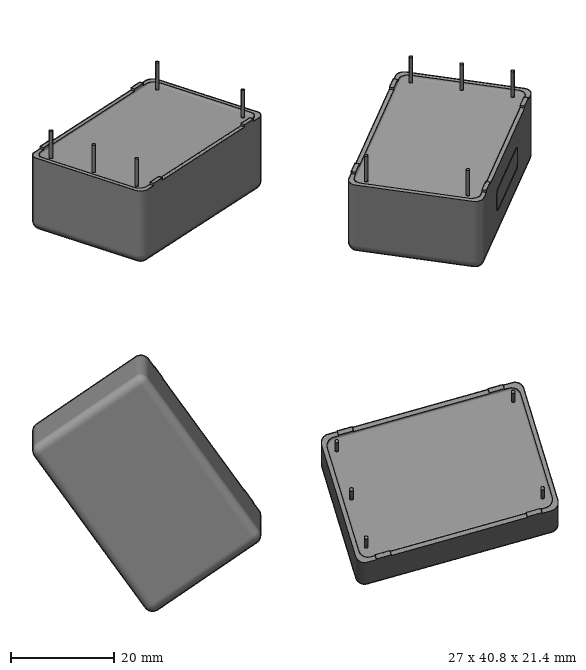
import cadquery as cq

width = 27.0
length = 40.8
total_height = 21.4
case_height = 16.0
corner_radius = 1.8
bottom_radius = 1.8

rim_wall = 0.9
recess_depth = 0.5
recess_corner_radius = 1.85
meniscus_radius = 0.45

tab_length = 3.0
tab_height = 0.5
tab_offset_y = 15.2

corner_pin_diameter = 0.7
middle_pin_diameter = 0.75
pin_spacing_x = 10.15
pin_row_spacing = 35.58
pin_pattern_center_x = 0.1
pin_pattern_center_y = -0.05

label_length = 16.4
label_height = 5.0
label_corner_diameter = 2.0
label_depth = 0.1
label_center_z = 8.35


def make_case():
    """Block with rounded vertical corners and a rounded bottom edge."""
    block = cq.Workplane("XY").box(width, length, case_height, centered=(True, True, False))
    return block.edges("|Z").fillet(corner_radius).faces("<Z").edges().fillet(bottom_radius)


def make_recess():
    """Shallow pocket volume whose floor curves up into the rim."""
    pocket = (
        cq.Workplane("XY")
        .workplane(offset=case_height - recess_depth)
        .rect(width - 2 * rim_wall, length - 2 * rim_wall)
        .extrude(recess_depth)
    )
    return pocket.edges("|Z").fillet(recess_corner_radius).faces("<Z").edges().fillet(meniscus_radius)


def make_tabs():
    """Four stand-off tabs, flush with the long sides and as thick as the rim."""
    tab_x = (width - rim_wall) / 2
    spots = [(x, y) for x in (-tab_x, tab_x) for y in (-tab_offset_y, tab_offset_y)]
    return (
        cq.Workplane("XY")
        .workplane(offset=case_height)
        .pushPoints(spots)
        .rect(rim_wall, tab_length)
        .extrude(tab_height)
    )


def make_pin(x, y, diameter):
    """Round pin standing on the recess floor."""
    floor_z = case_height - recess_depth
    return cq.Workplane("XY").circle(diameter / 2).extrude(total_height - floor_z).translate((x, y, floor_z))


def make_pins():
    """A pin near each corner and one midway along the -Y row."""
    front_y = pin_pattern_center_y - pin_row_spacing / 2
    back_y = pin_pattern_center_y + pin_row_spacing / 2
    pins = make_pin(pin_pattern_center_x, front_y, middle_pin_diameter)
    for side in (-1, 1):
        x = pin_pattern_center_x + side * pin_spacing_x
        for y in (front_y, back_y):
            pins = pins.union(make_pin(x, y, corner_pin_diameter))
    return pins


def make_label_recess():
    """Very shallow rounded rectangle sunk into the -X side."""
    label = cq.Workplane("XY").box(label_depth, label_length, label_height, centered=(False, True, True))
    return label.edges("|X").fillet(label_corner_diameter / 2).translate((-width / 2, 0, label_center_z))


result = make_case().cut(make_recess()).cut(make_label_recess()).union(make_tabs()).union(make_pins())